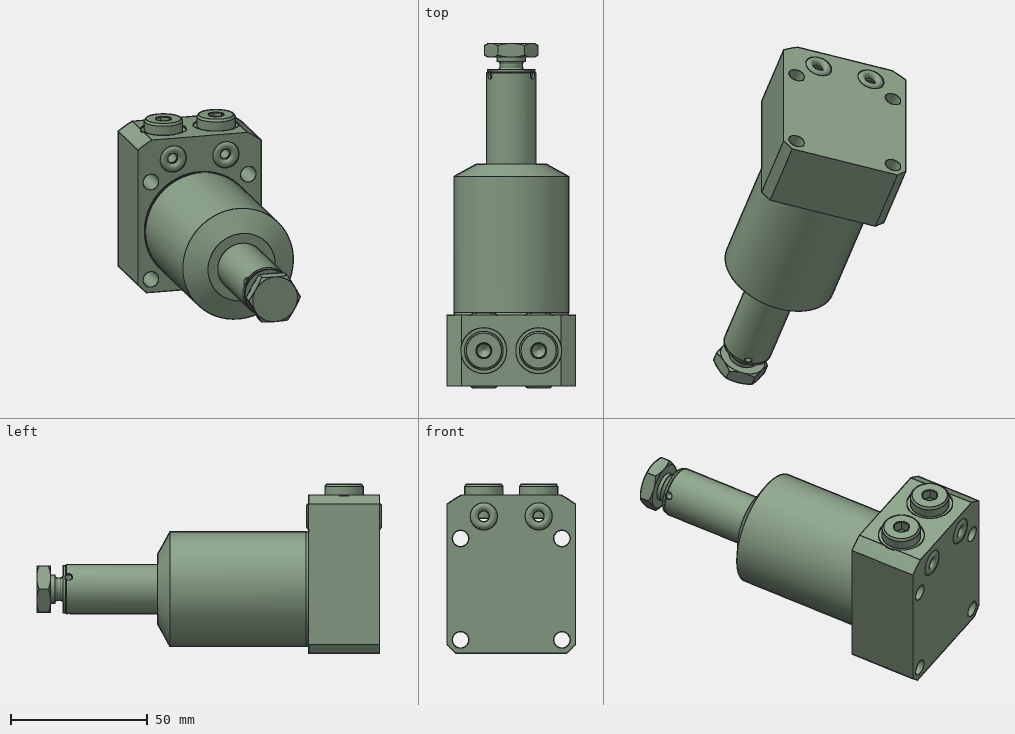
import cadquery as cq
import math


block_width = 47.0
block_depth = 26.0
block_height = 58
block_bottom = -block_width / 2
block_top = block_bottom + block_height
bottom_chamfer = 3.3
top_corner_radius = 38.9
mount_hole_diameter = 5.9
mount_hole_offset = 18.5

barrel_diameter = 42.1
barrel_relief_diameter = 41.6
barrel_relief_length = 1.0
barrel_shoulder_y = 76.6
barrel_nose_y = 81.1
barrel_nose_diameter = 25.6
rod_diameter = 18.1
rod_end_y = 115.7
rod_tip_diameter = 17.3
rod_tip_length = 0.9
rod_tip_chamfer = 0.4
spanner_hole_diameter = 2.8
spanner_hole_y = 113.7
spanner_hole_depth = 1.0
spanner_hole_angles = (30, 150, 270)

neck_diameter = 8.3
neck_fillet = 0.9
collar_diameter = 10.5
collar_start_y = 118.7
head_start_y = 120.2
head_end_y = 125.2
head_across_flats = 17.0
head_chamfer_angle = 30

port_spacing = 20.0
port_z = 26.6
port_bore_diameter = 4.0
spotface_diameter = 16.8
spotface_depth = 0.5
plug_head_diameter = 14.1
plug_head_height = 3.9
plug_chamfer_radial = 0.6
plug_chamfer_axial = 0.9
plug_shank_diameter = 8.2
plug_shank_bottom = 25.8
plug_socket_across_flats = 5
plug_socket_depth = 3.8
plug_countersink_depth = 0.3
drill_point_angle = 90
ring_outer_diameter = 10.0
ring_section = 3.0
ring_protrusion = 0.8

ring_seat_depth = ring_section - ring_protrusion
port_xs = (-port_spacing / 2, port_spacing / 2)


def y_cylinder(diameter, start_y, end_y, x=0, z=0):
    """Cylinder parallel to Y between two Y planes."""
    circle = cq.Workplane("XZ", origin=(x, start_y, z)).circle(diameter / 2)
    return circle.extrude(start_y - end_y)


def z_cylinder(diameter, bottom_z, top_z, x, y):
    """Cylinder parallel to Z between two Z planes."""
    circle = cq.Workplane("XY", origin=(x, y, bottom_z)).circle(diameter / 2)
    return circle.extrude(top_z - bottom_z)


def hexagon_corner_diameter(across_flats):
    """Distance across opposite corners of a regular hexagon."""
    return across_flats / math.cos(math.pi / 6)


def drilled_hole(diameter, depth):
    """Cutter for a blind hole along -Z from the origin, with a conical drill point."""
    radius = diameter / 2
    point_length = radius / math.tan(math.radians(drill_point_angle / 2))
    profile = [(0, 0), (radius, 0), (radius, -depth), (0, -depth - point_length)]
    return cq.Workplane("XZ").polyline(profile).close().revolve(360, (0, 0), (0, 1))


def make_block():
    """Block with chamfered lower corners, arched upper corners and four mounting holes through it."""
    half = block_width / 2
    corner_z = math.sqrt(top_corner_radius**2 - half**2)
    corner_x = math.sqrt(top_corner_radius**2 - block_top**2)
    block = (
        cq.Workplane("XZ")
        .moveTo(-half + bottom_chamfer, block_bottom)
        .lineTo(half - bottom_chamfer, block_bottom)
        .lineTo(half, block_bottom + bottom_chamfer)
        .lineTo(half, corner_z)
        .radiusArc((corner_x, block_top), -top_corner_radius)
        .lineTo(-corner_x, block_top)
        .radiusArc((-half, corner_z), -top_corner_radius)
        .lineTo(-half, block_bottom + bottom_chamfer)
        .close()
        .extrude(-block_depth)
    )
    for x in (-mount_hole_offset, mount_hole_offset):
        for z in (-mount_hole_offset, mount_hole_offset):
            block = block.cut(y_cylinder(mount_hole_diameter, 0, block_depth, x, z))
    return block


def make_barrel_and_rod():
    """Turned barrel with a tapered relief at the block, rod, neck and collar, revolved about Y."""
    barrel_start_y = block_depth + barrel_relief_length
    tip_start_y = rod_end_y - rod_tip_length
    neck_radius = neck_diameter / 2
    fillet_root = neck_radius + neck_fillet
    return (
        cq.Workplane("XY")
        .moveTo(0, block_depth)
        .lineTo(barrel_diameter / 2, block_depth)
        .lineTo(barrel_relief_diameter / 2, barrel_start_y)
        .lineTo(barrel_diameter / 2, barrel_start_y)
        .lineTo(barrel_diameter / 2, barrel_shoulder_y)
        .lineTo(barrel_nose_diameter / 2, barrel_nose_y)
        .lineTo(rod_diameter / 2, barrel_nose_y)
        .lineTo(rod_diameter / 2, tip_start_y - rod_tip_chamfer)
        .lineTo(rod_tip_diameter / 2, tip_start_y)
        .lineTo(rod_tip_diameter / 2, rod_end_y)
        .lineTo(fillet_root, rod_end_y)
        .radiusArc((neck_radius, rod_end_y + neck_fillet), neck_fillet)
        .lineTo(neck_radius, collar_start_y - neck_fillet)
        .radiusArc((fillet_root, collar_start_y), neck_fillet)
        .lineTo(collar_diameter / 2, collar_start_y)
        .lineTo(collar_diameter / 2, head_start_y)
        .lineTo(0, head_start_y)
        .close()
        .revolve(360, (0, 0), (0, 1))
    )


def make_head():
    """Hexagon with corners on X, both faces chamfered down to the flats' circle."""
    corner_diameter = hexagon_corner_diameter(head_across_flats)
    flat_radius = head_across_flats / 2
    corner_radius = corner_diameter / 2
    chamfer_length = (corner_radius - flat_radius) * math.tan(math.radians(head_chamfer_angle))
    hexagon = (
        cq.Workplane("XZ", origin=(0, head_start_y, 0))
        .polygon(6, corner_diameter)
        .extrude(head_start_y - head_end_y)
    )
    envelope_profile = [
        (0, head_start_y),
        (flat_radius, head_start_y),
        (corner_radius, head_start_y + chamfer_length),
        (corner_radius, head_end_y - chamfer_length),
        (flat_radius, head_end_y),
        (0, head_end_y),
    ]
    envelope = cq.Workplane("XY").polyline(envelope_profile).close().revolve(360, (0, 0), (0, 1))
    return hexagon.intersect(envelope)


def make_spanner_hole(angle):
    """Cutter for one radial hole in the rod, at an angle from +X about the rod axis."""
    cutter = drilled_hole(spanner_hole_diameter, spanner_hole_depth)
    cutter = cutter.translate((0, spanner_hole_y, rod_diameter / 2))
    return cutter.rotate((0, 0, 0), (0, 1, 0), 90 - angle)


def cut_port(body, x):
    """Cut the through bore, the seal seats at both ends and the plug spotface."""
    body = body.cut(y_cylinder(port_bore_diameter, 0, block_depth, x, port_z))
    body = body.cut(y_cylinder(ring_outer_diameter, 0, ring_seat_depth, x, port_z))
    rear_seat = y_cylinder(ring_outer_diameter, block_depth - ring_seat_depth, block_depth, x, port_z)
    body = body.cut(rear_seat)
    return body.cut(
        z_cylinder(spotface_diameter, block_top - spotface_depth, block_top, x, block_depth / 2)
    )


def make_socket():
    """Cutter for a hexagon socket: round countersunk mouth, corners on Y, conical bottom."""
    corner_diameter = hexagon_corner_diameter(plug_socket_across_flats)
    flat_radius = plug_socket_across_flats / 2
    mouth_profile = [(0, 0), (corner_diameter / 2, 0), (flat_radius, -plug_countersink_depth)]
    mouth_profile.append((0, -plug_countersink_depth))
    mouth = cq.Workplane("XZ").polyline(mouth_profile).close().revolve(360, (0, 0), (0, 1))
    hexagon = cq.Workplane("XY").polygon(6, corner_diameter).extrude(-plug_socket_depth)
    hexagon = hexagon.rotate((0, 0, 0), (0, 0, 1), 90)
    pilot = drilled_hole(plug_socket_across_flats, plug_socket_depth)
    return hexagon.union(pilot).union(mouth)


def make_plug(x):
    """Screw plug, without its socket, whose shank reaches down into the through bore."""
    y = block_depth / 2
    plug_top = block_top + plug_head_height
    head = z_cylinder(plug_head_diameter, block_top - spotface_depth, plug_top, x, y)
    head = head.faces(">Z").chamfer(plug_chamfer_axial, plug_chamfer_radial)
    shank = z_cylinder(plug_shank_diameter, plug_shank_bottom, block_top, x, y)
    return head.union(shank)


def make_housing():
    """Block, barrel, rod, head and plugs as one solid."""
    housing = make_block().union(make_barrel_and_rod()).union(make_head())
    for angle in spanner_hole_angles:
        housing = housing.cut(make_spanner_hole(angle))
    for x in port_xs:
        housing = cut_port(housing, x).union(make_plug(x))
        socket = make_socket().translate((x, block_depth / 2, block_top + plug_head_height))
        housing = housing.cut(socket)
    return housing


def make_seal_ring(x, y):
    """O-ring around a port bore, centred at the given X and Y."""
    section_radius = ring_section / 2
    centre_radius = ring_outer_diameter / 2 - section_radius
    ring = (
        cq.Workplane("XY")
        .center(centre_radius, 0)
        .circle(section_radius)
        .revolve(360, (-centre_radius, 0), (-centre_radius, 1))
    )
    return ring.translate((x, y, port_z))


housing = make_housing()

ring_inset = ring_section / 2 - ring_protrusion
seal_rings = []
for port_x in port_xs:
    for ring_y in (ring_inset, block_depth - ring_inset):
        seal_rings.append(make_seal_ring(port_x, ring_y))

result = cq.Compound.makeCompound([housing.solids().val(), *[ring.val() for ring in seal_rings]])